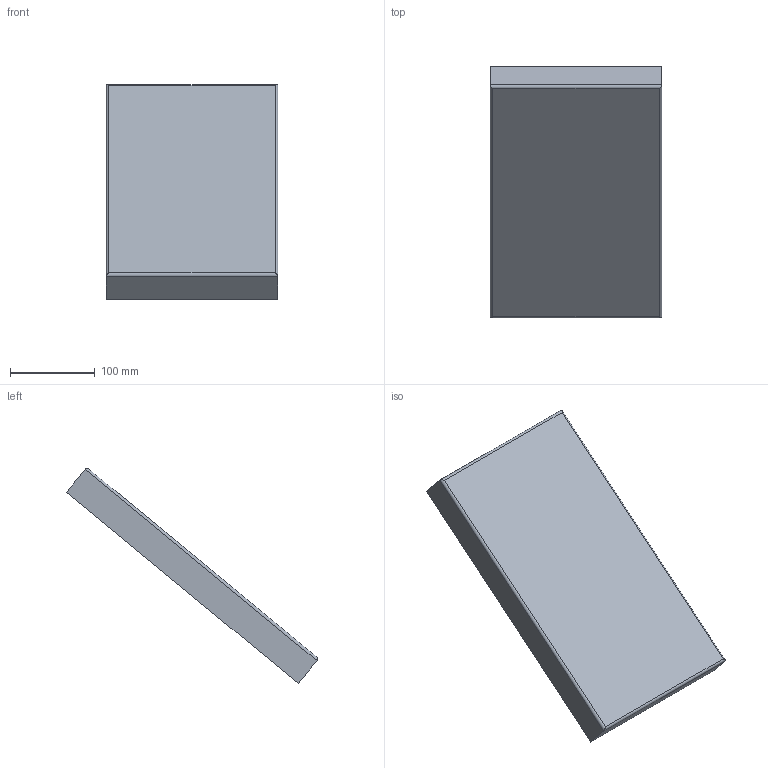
import cadquery as cq

WIDTH = 203.2
LENGTH = 355.6
THICKNESS = 38.1
TOP_EDGE_RADIUS = 3.175

TILT_ANGLE = 39.511


def make_flat_slab():
    """Rectangular slab with its four upper edges rounded."""
    slab = cq.Workplane("XY").box(WIDTH, LENGTH, THICKNESS)
    return slab.faces(">Z").edges().fillet(TOP_EDGE_RADIUS)


def tilt(slab):
    """Turn the slab about the X axis so that its +Y end is the high end."""
    return slab.rotate((0, 0, 0), (1, 0, 0), TILT_ANGLE)


result = tilt(make_flat_slab())